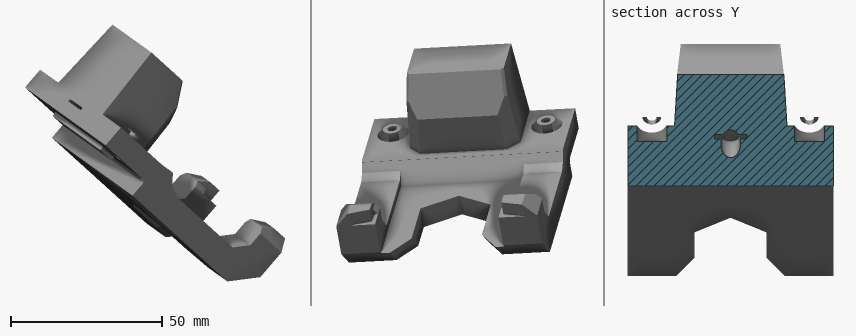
import cadquery as cq
import math

TILT = 45.0
ROOT_TWO = math.sqrt(2)
OVERALL_HEIGHT = 76.7

HALF_WIDTH = 34.0
BLOCK_TOP = 40.3
PLATE_END = OVERALL_HEIGHT * ROOT_TWO - BLOCK_TOP
CLAMP_FACE = 14.1
CLAMP_UNDERSIDE = 6.4
STEP_POSITION = 48.2
STEP_CORNER = 0.8
ARM_THICKNESS = 9.5
WEB_THICKNESS = 7.2
SHOULDER_START = 35.45
SHOULDER_KNEE_HEIGHT = 11.05
SHOULDER_KNEE = 39.0
SHOULDER_TOP = SHOULDER_KNEE + CLAMP_FACE - SHOULDER_KNEE_HEIGHT
LIP_THICKNESS = 0.15
LIP_RISE = 0.4
LIP_DROP = 0.5

ARM_INNER = 20.9
HOOK_OUTER = -8.35
HOOK_INNER = 2.3
HOOK_CREST = 23.6
HOOK_CAP_BASE = 19.1
HOOK_LIP_HEIGHT = 21.1
HOOK_FILL_HEIGHT = 14.0
BEVEL_SETBACK_LEFT = 3.8
BEVEL_SETBACK_RIGHT = 5.1
CAP_OUTER = 29.5
CAP_INNER = 22.25
CAP_END_SLANT = 2.1
CAP_WEDGE_LENGTH = 4.2

BLOCK_BASE_HALF_WIDTH = 18.65
BLOCK_TOP_HALF_WIDTH = 16.4
BLOCK_BACK = 44.1
BLOCK_BACK_TOP = 51.8
BLOCK_BEVEL_HEIGHT = 27.2
BLOCK_CORNER_CHAMFER = 4.0
BLOCK_BEVEL_CHAMFER = 0.9

SCREW_X = 26.0
SCREW_POSITION = 58.1
SCREW_HOLE_DIAMETER = 3.2
SLEEVE_DIAMETER = 3.4
FLANGE_DIAMETER = 6.1
FLANGE_THICKNESS = 0.15
SLEEVE_HEIGHT = 2.0
SEAT_DIAMETER = 10.35
SEAT_DEPTH = 3.6

RAIL_LENGTH = 40.2
RAIL_WIDTH = 5.75
RAIL_HEIGHT = 1.6
CENTRE_HOLE_DIAMETER = 6.4
CENTRE_HOLE_POSITION = 52.0
SLOT_LENGTH = 10.5
SLOT_WIDTH = 1.0
SLOT_HEIGHT = 11.5

NOTCH_HALF_WIDTH = 11.9
NOTCH_CHAMFER = 6.0
NOTCH_SIDE_HEIGHT = 14.4
NOTCH_PEAK_HEIGHT = 19.25

OVERLAP = 0.8


def box(x_range, y_range, z_range):
    """Axis-aligned box between the given limits."""
    sizes = [high - low for low, high in (x_range, y_range, z_range)]
    corner = (x_range[0], y_range[0], z_range[0])
    return cq.Workplane("XY").box(*sizes, centered=False).translate(corner)


def side_prism(points, x_start, x_end):
    """Outline of (height, distance up the plate) points extruded across the width."""
    outline = cq.Workplane("YZ", origin=(x_start, 0, 0)).polyline(points).close()
    return outline.extrude(x_end - x_start)


def cylinder(diameter, x, position, low, high):
    """Round bar standing on the plate between two heights."""
    base = cq.Workplane("XZ", origin=(x, low, position)).circle(diameter / 2)
    return base.extrude(low - high)


def plate_and_hooks():
    """Plate with its two arms and hooks; the foot and the shoulder wall run at 45 degrees."""
    fill_end = HOOK_INNER + HOOK_FILL_HEIGHT - ARM_THICKNESS
    outline = [
        (0, 0),
        (0, STEP_POSITION),
        (CLAMP_UNDERSIDE - STEP_CORNER, STEP_POSITION),
        (CLAMP_UNDERSIDE, STEP_POSITION + STEP_CORNER),
        (CLAMP_UNDERSIDE, PLATE_END),
        (CLAMP_FACE, PLATE_END),
        (CLAMP_FACE, SHOULDER_TOP),
        (SHOULDER_KNEE_HEIGHT, SHOULDER_KNEE),
        (ARM_THICKNESS, SHOULDER_START),
        (ARM_THICKNESS, fill_end),
        (HOOK_FILL_HEIGHT, HOOK_INNER),
        (HOOK_CREST, HOOK_INNER),
        (HOOK_CREST, HOOK_OUTER),
        (-HOOK_OUTER, HOOK_OUTER),
    ]
    body = side_prism(outline, -HALF_WIDTH, HALF_WIDTH)
    web_end = SHOULDER_TOP - CLAMP_FACE + WEB_THICKNESS
    gap = [
        (WEB_THICKNESS, HOOK_OUTER - OVERLAP),
        (WEB_THICKNESS, web_end),
        (CLAMP_FACE, SHOULDER_TOP),
        (HOOK_CREST + OVERLAP, SHOULDER_TOP),
        (HOOK_CREST + OVERLAP, HOOK_OUTER - OVERLAP),
    ]
    return body.cut(side_prism(gap, -ARM_INNER, ARM_INNER))


def shoulder_lip():
    """Thin strip along the top of the shoulder wall, standing slightly proud of the clamp face."""
    low = (CLAMP_FACE - LIP_DROP, SHOULDER_TOP - LIP_DROP)
    high = (CLAMP_FACE + LIP_RISE, SHOULDER_TOP + LIP_RISE)
    outline = [
        low,
        high,
        (high[0] + LIP_THICKNESS, high[1] - LIP_THICKNESS),
        (low[0] + LIP_THICKNESS, low[1] - LIP_THICKNESS),
    ]
    return side_prism(outline, -HALF_WIDTH, HALF_WIDTH)


def hook_cap(bevel_setback):
    """Faceted top of the hook at +X."""
    crest_end = HOOK_INNER - bevel_setback
    profile = [
        (HOOK_CAP_BASE, HOOK_OUTER),
        (HOOK_CAP_BASE, HOOK_INNER),
        (HOOK_LIP_HEIGHT, HOOK_INNER),
        (HOOK_CREST, crest_end),
        (HOOK_CREST, HOOK_OUTER),
    ]
    cap = side_prism(profile, ARM_INNER, HALF_WIDTH)
    section = [
        (HALF_WIDTH, HOOK_CAP_BASE),
        (CAP_OUTER, HOOK_CREST),
        (CAP_INNER, HOOK_CREST),
        (CAP_INNER, HOOK_CAP_BASE),
    ]
    length = HOOK_INNER - HOOK_OUTER
    envelope = cq.Workplane("XY", origin=(0, 0, HOOK_OUTER)).polyline(section).close().extrude(length)
    slant = [
        (CAP_OUTER, HOOK_OUTER),
        (CAP_INNER, HOOK_OUTER + CAP_END_SLANT),
        (CAP_INNER, HOOK_OUTER),
    ]
    slant_cut = cq.Workplane("XZ").polyline(slant).close().extrude(-HOOK_CREST)
    wedge = [
        (ARM_INNER, HOOK_CAP_BASE),
        (CAP_INNER, HOOK_LIP_HEIGHT),
        (CAP_INNER, HOOK_CAP_BASE),
    ]
    wedge_face = cq.Workplane("XY", origin=(0, 0, HOOK_INNER)).polyline(wedge).close()
    return cap.intersect(envelope).cut(slant_cut).union(wedge_face.extrude(-CAP_WEDGE_LENGTH))


def tapered_block():
    """Block with drafted sides, a bevelled back and chamfered back corners."""
    profile = [
        (CLAMP_FACE, BLOCK_BACK),
        (CLAMP_FACE, PLATE_END),
        (BLOCK_TOP, PLATE_END),
        (BLOCK_TOP, BLOCK_BACK_TOP),
        (BLOCK_BEVEL_HEIGHT, BLOCK_BACK),
    ]
    section = [
        (-BLOCK_BASE_HALF_WIDTH, CLAMP_FACE),
        (BLOCK_BASE_HALF_WIDTH, CLAMP_FACE),
        (BLOCK_TOP_HALF_WIDTH, BLOCK_TOP),
        (-BLOCK_TOP_HALF_WIDTH, BLOCK_TOP),
    ]
    block = side_prism(profile, -BLOCK_BASE_HALF_WIDTH, BLOCK_BASE_HALF_WIDTH)
    block = block.intersect(cq.Workplane("XY").polyline(section).close().extrude(PLATE_END))
    mid_wall = (CLAMP_FACE + BLOCK_BEVEL_HEIGHT) / 2
    mid_bevel = (BLOCK_TOP + BLOCK_BEVEL_HEIGHT) / 2
    mid_bevel_back = (BLOCK_BACK + BLOCK_BACK_TOP) / 2
    for x in (-HALF_WIDTH, HALF_WIDTH):
        bevel_edge = cq.selectors.NearestToPointSelector((x, mid_bevel, mid_bevel_back))
        block = block.edges(bevel_edge).chamfer(BLOCK_BEVEL_CHAMFER)
        wall_edge = cq.selectors.NearestToPointSelector((x, mid_wall, BLOCK_BACK))
        block = block.edges(wall_edge).chamfer(BLOCK_CORNER_CHAMFER)
    return block


def screw_seat(x):
    """Flat-bottomed pocket with a round mouth whose walls are vertical once the part is tilted."""
    axis = cq.Vector(0, 1, 0)
    mouth = cq.Wire.makeCircle(SEAT_DIAMETER / 2, cq.Vector(x, CLAMP_FACE, SCREW_POSITION), axis)
    return cq.Workplane(cq.Solid.extrudeLinear(mouth, [], cq.Vector(0, -SEAT_DEPTH, -SEAT_DEPTH)))


def add_screw_sleeve(body, x):
    """Through hole in a thin flanged sleeve that rises from its seat."""
    flange_top = CLAMP_FACE + SLEEVE_HEIGHT
    flange_base = flange_top - FLANGE_THICKNESS
    seat_floor = CLAMP_FACE - SEAT_DEPTH
    body = body.cut(screw_seat(x))
    body = body.union(cylinder(SLEEVE_DIAMETER, x, SCREW_POSITION, seat_floor, flange_top))
    body = body.union(cylinder(FLANGE_DIAMETER, x, SCREW_POSITION, flange_base, flange_top))
    return body.cut(cylinder(SCREW_HOLE_DIAMETER, x, SCREW_POSITION, 0, flange_top))


def rail():
    """Straight rail on the underside, centred on the line of the screws."""
    return box(
        (-RAIL_LENGTH / 2, RAIL_LENGTH / 2),
        (CLAMP_UNDERSIDE - RAIL_HEIGHT, CLAMP_UNDERSIDE),
        (SCREW_POSITION - RAIL_WIDTH / 2, SCREW_POSITION + RAIL_WIDTH / 2),
    )


def end_slot():
    """Flat slot from the end of the plate to the axis of the centre hole."""
    return box(
        (-SLOT_LENGTH / 2, SLOT_LENGTH / 2),
        (SLOT_HEIGHT - SLOT_WIDTH / 2, SLOT_HEIGHT + SLOT_WIDTH / 2),
        (CENTRE_HOLE_POSITION, PLATE_END),
    )


def pointed_notch():
    """Notch between the arms, cut square through the plate."""
    peak = NOTCH_PEAK_HEIGHT * ROOT_TWO
    side = NOTCH_SIDE_HEIGHT * ROOT_TWO
    outline = [
        (-NOTCH_HALF_WIDTH, HOOK_OUTER),
        (-NOTCH_HALF_WIDTH, side),
        (0, peak),
        (NOTCH_HALF_WIDTH, side),
        (NOTCH_HALF_WIDTH, HOOK_OUTER),
    ]
    return cq.Workplane("XZ").polyline(outline).close().extrude(-CLAMP_FACE)


def notch_mouth():
    """Flared mouth of the notch, cut horizontally through the tilted plate."""
    outline = [
        (-NOTCH_HALF_WIDTH - NOTCH_CHAMFER, 0),
        (-NOTCH_HALF_WIDTH, NOTCH_CHAMFER),
        (NOTCH_HALF_WIDTH, NOTCH_CHAMFER),
        (NOTCH_HALF_WIDTH + NOTCH_CHAMFER, 0),
    ]
    return cq.Workplane("XZ").polyline(outline).close().extrude(PLATE_END, both=True)


body = plate_and_hooks()
body = body.union(shoulder_lip())

cap_space = box(
    (-HALF_WIDTH, HALF_WIDTH),
    (HOOK_CAP_BASE, HOOK_CREST + OVERLAP),
    (HOOK_OUTER, HOOK_INNER),
)
body = body.cut(cap_space)
body = body.union(hook_cap(BEVEL_SETBACK_RIGHT))
body = body.union(hook_cap(BEVEL_SETBACK_LEFT).mirror("YZ"))

body = body.union(tapered_block())
body = body.union(rail())
body = body.cut(cylinder(CENTRE_HOLE_DIAMETER, 0, CENTRE_HOLE_POSITION, CLAMP_UNDERSIDE, CLAMP_FACE))
body = body.cut(end_slot())
for screw_x in (-SCREW_X, SCREW_X):
    body = add_screw_sleeve(body, screw_x)
body = body.cut(pointed_notch())

body = body.rotate((0, 0, 0), (1, 0, 0), TILT)
result = body.cut(notch_mouth())